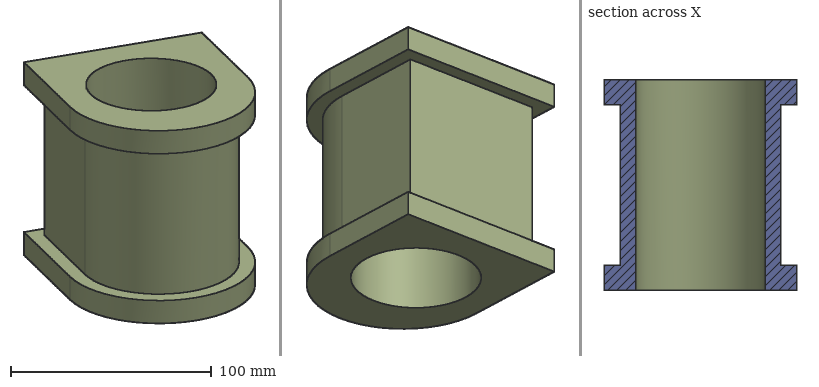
import cadquery as cq

length = 108.0
width = 96.0
height = 105.0

flange_thickness = 12.5
flange_radius = width / 2
body_width = 80.0
body_radius = body_width / 2
body_back_inset = 7.6

bore_diameter = 65.0
bore_from_back = 50.0

flange_back_x = flange_radius - length
body_back_x = flange_back_x + body_back_inset
bore_x = flange_back_x + bore_from_back


def d_shaped_block(back_x, radius, bottom_z, block_height):
    """Block with a flat back and a full-round front centred on the origin."""
    return (
        cq.Workplane("XY", origin=(0, 0, bottom_z))
        .moveTo(back_x, -radius)
        .lineTo(0, -radius)
        .threePointArc((radius, 0), (0, radius))
        .lineTo(back_x, radius)
        .close()
        .extrude(block_height)
    )


bushing = d_shaped_block(body_back_x, body_radius, -height / 2, height)
for flange_bottom in (-height / 2, height / 2 - flange_thickness):
    flange = d_shaped_block(flange_back_x, flange_radius, flange_bottom, flange_thickness)
    bushing = bushing.union(flange)

bore = (
    cq.Workplane("XY", origin=(bore_x, 0, -height / 2))
    .circle(bore_diameter / 2)
    .extrude(height)
)
result = bushing.cut(bore)